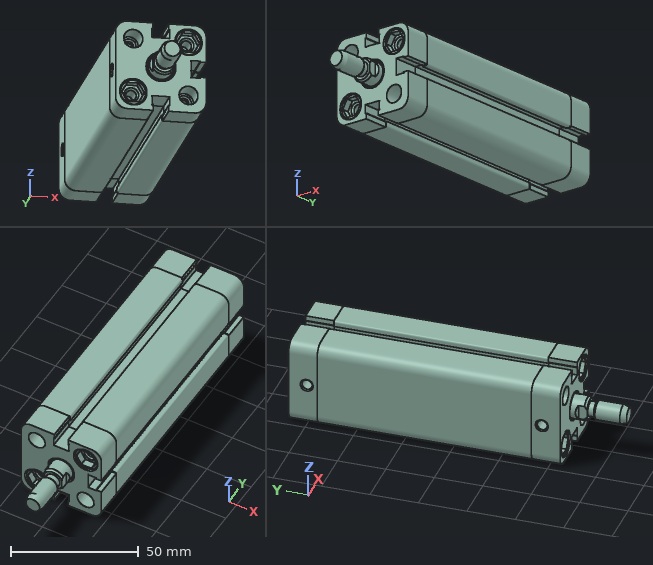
import cadquery as cq
import math

WIDTH = 36.3
TOTAL_LENGTH = 134.6
ROD_REACH = 22.5
CAP_LENGTH = 11.8
CORNER_RADIUS = 4.6
BODY_LENGTH = TOTAL_LENGTH - ROD_REACH
TUBE_LENGTH = BODY_LENGTH - 2 * CAP_LENGTH
HALF_WIDTH = WIDTH / 2

SLOT_DEPTH = 6.0
SLOT_POCKET_WIDTH = 7.0
SLOT_LIP_HEIGHT = 2.4
CAP_SLOT_OPENING = 6.2
TUBE_SLOT_OPENING = 5.4
TUBE_LIP_RADIUS = 0.8
SLOT_ANGLES = (0, 90, 180)

HOLE_OFFSET = 11.0
PLAIN_HOLE_DIAMETER = 7.5
PLAIN_HOLE_DEPTH = 9.0
SCREW_HOLE_DIAMETER = 4.2
COUNTERSINK_DIAMETER = 5.8
COUNTERSINK_DEPTH = (COUNTERSINK_DIAMETER - SCREW_HOLE_DIAMETER) / 2
HEAD_RECESS_DIAMETER = 10.9
HEAD_RECESS_FLOOR_DIAMETER = 10.0
HEAD_RECESS_DEPTH = 0.5
HEX_ACROSS_CORNERS = 9.0
HEX_DEPTH = 3.8
SOCKET_BORE_DIAMETER = 8.0

PORT_FROM_END = 7.5
PORT_MOUTH_DIAMETER = 5.2
PORT_DIAMETER = 4.2
PORT_DEPTH = 8.1
PORT_PASSAGE_HEIGHT = 2.7
PASSAGE_END_RADIUS = 4.0

ROD_DIAMETER = 10.0
SEAL_RECESS_DIAMETER = 12.0
SEAL_RECESS_FLOOR_DIAMETER = 10.9
SEAL_RECESS_DEPTH = 0.5
SHOULDER_REACH = 6.5
SHOULDER_CHAMFER = 1.1
SHOULDER_CHAMFER_WIDTH = 0.7
NECK_DIAMETER = 6.2
THREAD_DIAMETER = 8.0
THREAD_START = 8.9
THREAD_RUN_IN = 0.8
TIP_DIAMETER = 6.3
TIP_LENGTH = 2.5
FLAT_WIDTH = 8.0
FLAT_START = 3.0


def disc_along_y(diameter, start, length):
    """Cylinder on the Y axis from y = start to y = start + length."""
    return cq.Workplane("XZ", origin=(0, start, 0)).circle(diameter / 2).extrude(-length)


def cone_along_y(start_diameter, end_diameter, start, length):
    """Cone frustum on the Y axis whose diameter changes from y = start to y = start + length."""
    solid = cq.Solid.makeCone(
        start_diameter / 2, end_diameter / 2, length, cq.Vector(0, start, 0), cq.Vector(0, 1, 0)
    )
    return cq.Workplane(solid)


def slot_cutter(opening, length):
    """T-shaped slot in the top side, from y = 0 to y = length."""
    lip = cq.Workplane("XY").box(opening, length, SLOT_DEPTH, centered=(True, False, False))
    pocket_height = SLOT_DEPTH - SLOT_LIP_HEIGHT
    pocket = cq.Workplane("XY").box(SLOT_POCKET_WIDTH, length, pocket_height, centered=(True, False, False))
    return lip.union(pocket).translate((0, 0, HALF_WIDTH - SLOT_DEPTH))


def lip_round_cutter(side, length):
    """Material outside the rounded upper edge of the tube's slot lip at x = side * half opening."""
    edge_x = side * TUBE_SLOT_OPENING / 2
    far_x = edge_x + side * TUBE_LIP_RADIUS
    low_z = HALF_WIDTH - TUBE_LIP_RADIUS
    arc_inset = TUBE_LIP_RADIUS * (1 - math.sqrt(0.5))
    return (
        cq.Workplane("XZ")
        .moveTo(edge_x, low_z)
        .threePointArc((edge_x + side * arc_inset, HALF_WIDTH - arc_inset), (far_x, HALF_WIDTH))
        .lineTo(edge_x, HALF_WIDTH)
        .close()
        .extrude(-length)
    )


def profile_block(length, cutter):
    """Square bar with rounded long edges and one slot per slotted side."""
    bar = cq.Workplane("XY").box(WIDTH, length, WIDTH, centered=(True, False, True))
    bar = bar.edges("|Y").fillet(CORNER_RADIUS)
    for angle in SLOT_ANGLES:
        bar = bar.cut(cutter.rotate((0, 0, 0), (0, 1, 0), angle))
    return bar


def plain_hole_cutter():
    """Wide blind hole that continues as a narrow screw hole."""
    wide = disc_along_y(PLAIN_HOLE_DIAMETER, 0, PLAIN_HOLE_DEPTH)
    return wide.union(screw_hole_cutter(PLAIN_HOLE_DEPTH))


def screw_hole_cutter(start):
    """Screw hole through the cap, with a 45 degree countersink that begins at y = start."""
    hole = disc_along_y(SCREW_HOLE_DIAMETER, 0, CAP_LENGTH)
    return hole.union(cone_along_y(COUNTERSINK_DIAMETER, SCREW_HOLE_DIAMETER, start, COUNTERSINK_DEPTH))


def socket_hole_cutter():
    """Conical head recess, bored hexagonal socket and the countersunk screw hole below it."""
    recess = cone_along_y(HEAD_RECESS_DIAMETER, HEAD_RECESS_FLOOR_DIAMETER, 0, HEAD_RECESS_DEPTH)
    socket = cq.Workplane("XZ").polygon(6, HEX_ACROSS_CORNERS).extrude(-HEX_DEPTH)
    socket = socket.union(disc_along_y(SOCKET_BORE_DIAMETER, 0, HEX_DEPTH))
    return recess.union(socket).union(screw_hole_cutter(HEX_DEPTH))


def port_cutter(y):
    """Air port in the -X side: chamfered round hole, then a flat-sided passage inwards."""
    face = cq.Workplane("YZ", origin=(-HALF_WIDTH, y, 0))
    port = face.circle(PORT_DIAMETER / 2).extrude(PORT_DEPTH)
    mouth = cq.Solid.makeCone(
        PORT_MOUTH_DIAMETER / 2,
        PORT_DIAMETER / 2,
        (PORT_MOUTH_DIAMETER - PORT_DIAMETER) / 2,
        cq.Vector(-HALF_WIDTH, y, 0),
        cq.Vector(1, 0, 0),
    )
    passage_reach = HALF_WIDTH - PASSAGE_END_RADIUS
    slab = face.rect(PORT_DIAMETER, PORT_PASSAGE_HEIGHT).extrude(passage_reach)
    passage = face.circle(PORT_DIAMETER / 2).extrude(passage_reach).intersect(slab)
    return port.union(cq.Workplane(mouth)).union(passage)


def make_cap(port_y):
    """End cap from y = 0 to y = CAP_LENGTH with its air port at y = port_y."""
    cap = profile_block(CAP_LENGTH, slot_cutter(CAP_SLOT_OPENING, CAP_LENGTH))
    return cap.cut(port_cutter(port_y))


def make_front_cap():
    """End cap with the corner holes, the rod bore and the shallow conical recess around the rod."""
    cap = make_cap(PORT_FROM_END)
    for side in (1, -1):
        cap = cap.cut(socket_hole_cutter().translate((side * HOLE_OFFSET, 0, side * HOLE_OFFSET)))
        cap = cap.cut(plain_hole_cutter().translate((side * HOLE_OFFSET, 0, -side * HOLE_OFFSET)))
    recess = cone_along_y(SEAL_RECESS_DIAMETER, SEAL_RECESS_FLOOR_DIAMETER, 0, SEAL_RECESS_DEPTH)
    return cap.cut(disc_along_y(ROD_DIAMETER, 0, CAP_LENGTH)).cut(recess)


def make_rear_cap():
    """End cap with a plain outer face, closing the +Y end."""
    return make_cap(CAP_LENGTH - PORT_FROM_END).translate((0, BODY_LENGTH - CAP_LENGTH, 0))


def make_tube():
    """Profile tube between the caps, with rounded slot lips."""
    cutter = slot_cutter(TUBE_SLOT_OPENING, TUBE_LENGTH)
    for side in (1, -1):
        cutter = cutter.union(lip_round_cutter(side, TUBE_LENGTH))
    return profile_block(TUBE_LENGTH, cutter).translate((0, CAP_LENGTH, 0))


def rod_flat_cutter(side):
    """Wrench flat on one side of the rod shoulder, ending in a 45 degree ramp."""
    flat_x = side * FLAT_WIDTH / 2
    outer_x = side * ROD_DIAMETER / 2
    ramp_end = -FLAT_START + (ROD_DIAMETER - FLAT_WIDTH) / 2
    return (
        cq.Workplane("XY", origin=(0, 0, -ROD_DIAMETER / 2))
        .polyline([
            (flat_x, -SHOULDER_REACH),
            (flat_x, -FLAT_START),
            (outer_x, ramp_end),
            (outer_x, -SHOULDER_REACH),
        ])
        .close()
        .extrude(ROD_DIAMETER)
    )


def make_rod():
    """Turned rod from the inner face of the front cap to its threaded tip."""
    rod_radius = ROD_DIAMETER / 2
    neck_radius = NECK_DIAMETER / 2
    thread_radius = THREAD_DIAMETER / 2
    rod = (
        cq.Workplane("XY")
        .polyline([
            (0, CAP_LENGTH),
            (rod_radius, CAP_LENGTH),
            (rod_radius, SHOULDER_CHAMFER - SHOULDER_REACH),
            (rod_radius - SHOULDER_CHAMFER_WIDTH, -SHOULDER_REACH),
            (neck_radius, -SHOULDER_REACH),
            (neck_radius, -THREAD_START),
            (thread_radius, -THREAD_START - THREAD_RUN_IN),
            (thread_radius, TIP_LENGTH - ROD_REACH),
            (TIP_DIAMETER / 2, -ROD_REACH),
            (0, -ROD_REACH),
        ])
        .close()
        .revolve(360, (0, 0, 0), (0, 1, 0))
    )
    for side in (1, -1):
        rod = rod.cut(rod_flat_cutter(side))
    return rod


front_cap = make_front_cap()
tube = make_tube()
rear_cap = make_rear_cap()
rod = make_rod()

result = cq.Compound.makeCompound([front_cap.val(), tube.val(), rear_cap.val(), rod.val()])